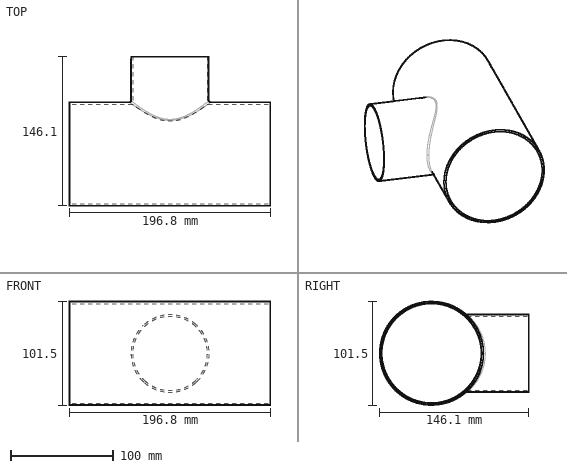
import cadquery as cq

run_length = 196.8
run_outer_diameter = 101.5
run_bore_diameter = 97.5

branch_reach = 95.3
branch_outer_diameter = 76.2
branch_bore_diameter = 72.8

weld_radius = 1.5


def run_cylinder(diameter):
    """Full-length cylinder on the X axis, centred at the origin."""
    return cq.Workplane("YZ").circle(diameter / 2).extrude(run_length / 2, both=True)


def branch_cylinder(diameter):
    """Cylinder from the main pipe axis to the branch mouth in +Y."""
    return cq.Workplane("XZ").circle(diameter / 2).extrude(-branch_reach)


def outer_body():
    """Both pipes as solid bars, blended along their saddle-shaped joint."""
    body = run_cylinder(run_outer_diameter).union(branch_cylinder(branch_outer_diameter))
    return body.edges("not (%CIRCLE or %LINE)").fillet(weld_radius)


result = (
    outer_body()
    .cut(run_cylinder(run_bore_diameter))
    .cut(branch_cylinder(branch_bore_diameter))
)